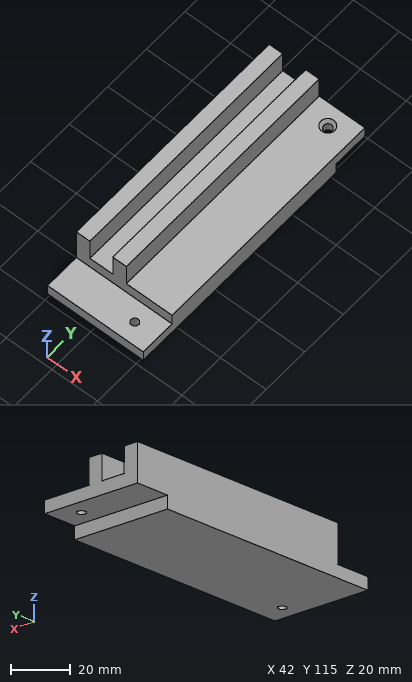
import cadquery as cq

width = 42.0
length = 115.0
height = 20.0

overhang = 15.0
layer_length = length - overhang
plate_thickness = height / 4
floor_top = 2 * plate_thickness

rail_width = 6.0
channel_width = 10.0
rail_height = height - floor_top

hole_x = 32.0
front_hole_y = overhang / 2
back_hole_y = length - overhang / 2
front_hole_diameter = 3.2
back_hole_diameter = 3.5
countersink_diameter = 6.0
countersink_angle = 90


def block(x, y, z, size_x, size_y, size_z):
    """Box placed by its lowest corner."""
    return cq.Workplane("XY").box(size_x, size_y, size_z, centered=False).translate((x, y, z))


lower_plate = block(0, 0, 0, width, layer_length, plate_thickness)
floor = block(0, overhang, plate_thickness, width, layer_length, plate_thickness)
body = lower_plate.union(floor)

for rail_x in (0, rail_width + channel_width):
    body = body.union(block(rail_x, overhang, floor_top, rail_width, layer_length, rail_height))

front_hole = (
    cq.Workplane("XY")
    .center(hole_x, front_hole_y)
    .circle(front_hole_diameter / 2)
    .extrude(plate_thickness)
)
body = body.cut(front_hole)

result = (
    body.copyWorkplane(cq.Workplane("XY", origin=(0, 0, floor_top)))
    .pushPoints([(hole_x, back_hole_y)])
    .cskHole(back_hole_diameter, countersink_diameter, countersink_angle, depth=floor_top)
)